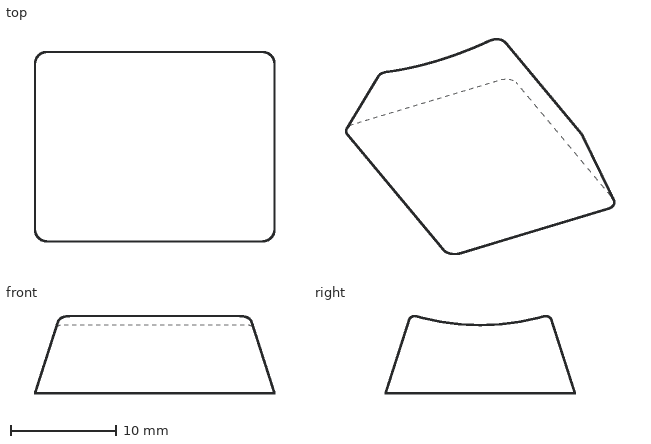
import cadquery as cq

base_length = 22.75
base_width = 18.0

side_draft = 17.8
blank_height = 8.2
corner_radius = 1.25

dish_floor = 6.49
dish_radius = 22.08

rim_radius = 0.6


def tapered_body():
    """Four-sided frustum with rounded sloping corners."""
    blank = cq.Workplane("XY").rect(base_length, base_width).extrude(blank_height, taper=side_draft)
    sloping_edges = blank.edges("not(#Z)")
    return sloping_edges.fillet(corner_radius)


def dish_cutter():
    """Cylinder whose lowest line forms the bottom of the dish."""
    section = cq.Workplane("YZ").center(0, dish_floor + dish_radius).circle(dish_radius)
    return section.extrude(base_length / 2, both=True)


def round_rim(body):
    """Round the edge between the dish and the sides."""
    dish_face = body.faces(cq.selectors.NearestToPointSelector((0, 0, dish_floor)))
    return dish_face.edges().fillet(rim_radius)


body = tapered_body().cut(dish_cutter())
result = round_rim(body)